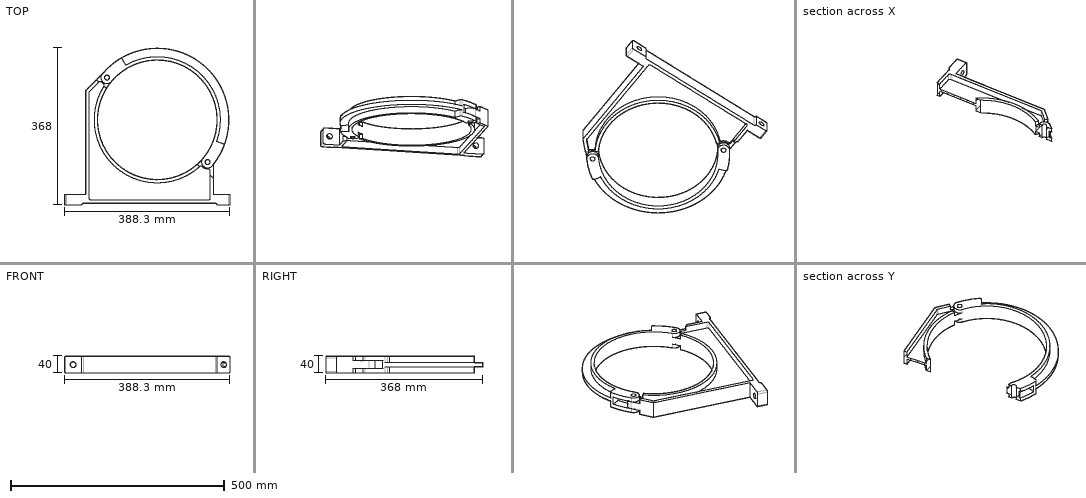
import cadquery as cq
import math

HEIGHT = 40.0
TONGUE_HEIGHT = 19.0
WEB_HEIGHT = 8.0
CLAMP_RIB_HEIGHT = 10.0

BORE_RADIUS = 140.0
LINER_RADIUS = 148.0
RING_RADIUS = 168.0
WALL = LINER_RADIUS - BORE_RADIUS

SPLIT_ANGLE = -40.0
HINGE_RADIUS = (BORE_RADIUS + RING_RADIUS) / 2
KNUCKLE_RADIUS = (RING_RADIUS - BORE_RADIUS) / 2
HINGE_HOLE_DIAMETER = 11.2
HINGE_BOSS_RADIUS = 16.5
HINGE_RECESS = 20.0
KNUCKLE_END_ANGLE = 20.0
SLOT_END_ANGLE = 16.5
CLAMP_END_FILLET = 4.0

BODY_LEFT = -RING_RADIUS
FOOT_BOTTOM = -200.0
FOOT_LEFT = -217.3
FOOT_RIGHT = 171.0
FOOT_THICKNESS = 25.0
FOOT_EDGE_RADIUS = 4.0
RELIEF_DEPTH = 4.0
FOOT_HOLE_DIAMETER = 13.0
LEFT_HOLE_INSET = 20.0
RIGHT_HOLE_INSET = 15.5
POCKET_CORNER_RADIUS = 4.0

FOOT_TOP = FOOT_BOTTOM + FOOT_THICKNESS
BODY_BOTTOM = FOOT_BOTTOM + RELIEF_DEPTH
RELIEF_LEFT = FOOT_LEFT + 2 * LEFT_HOLE_INSET
RELIEF_RIGHT = FOOT_RIGHT - 2 * RIGHT_HOLE_INSET
FAR = 2 * RING_RADIUS

HINGE_X = HINGE_RADIUS * math.cos(math.radians(SPLIT_ANGLE))
HINGE_Y = HINGE_RADIUS * math.sin(math.radians(SPLIT_ANGLE))
HINGE_CENTRES = [(HINGE_X, HINGE_Y), (-HINGE_X, -HINGE_Y)]

BODY_RIGHT = HINGE_X + KNUCKLE_RADIUS
TANGENT_STEP = KNUCKLE_RADIUS * math.sin(math.radians(45))
TANGENT_POINT = (-HINGE_X - TANGENT_STEP, -HINGE_Y + TANGENT_STEP)


def mid_plane(height):
    """Sketch plane from which an extrusion of this height is centred on Z = 0."""
    return cq.Workplane("XY").workplane(offset=-height / 2)


def disc(radius, height):
    return mid_plane(height).circle(radius).extrude(height)


def ring(inner, outer, height):
    return mid_plane(height).circle(outer).circle(inner).extrude(height)


def hinge_discs(radius, height):
    return mid_plane(height).pushPoints(HINGE_CENTRES).circle(radius).extrude(height)


def split_strip(low, high, height):
    """Block parallel to the split line, between two signed distances from it."""
    strip = mid_plane(height).center(0, (low + high) / 2).rect(2 * FAR, high - low).extrude(height)
    return strip.rotate((0, 0, 0), (0, 0, 1), SPLIT_ANGLE)


def sector(end_trim, height):
    """Clamp-side wedge that stops short of the split line by end_trim degrees at each end."""
    half_angle = math.radians(90 - end_trim)
    x = FAR * math.cos(half_angle)
    y = FAR * math.sin(half_angle)
    corners = [(0, 0), (x, -y), (FAR, -y), (FAR, y), (x, y)]
    wedge = mid_plane(height).polyline(corners).close().extrude(height)
    return wedge.rotate((0, 0, 0), (0, 0, 1), SPLIT_ANGLE + 90)


def sloped_side_y(x, offset):
    """Y of the 45 degree side at x, with the side moved inwards by offset."""
    return TANGENT_POINT[1] + (x - TANGENT_POINT[0]) - offset * math.sqrt(2)


def make_base_blank():
    bend = RELIEF_DEPTH * math.sin(math.radians(45))
    return (
        mid_plane(HEIGHT)
        .moveTo(FOOT_LEFT, FOOT_BOTTOM)
        .lineTo(RELIEF_LEFT, FOOT_BOTTOM)
        .threePointArc(
            (RELIEF_LEFT + RELIEF_DEPTH - bend, FOOT_BOTTOM + bend),
            (RELIEF_LEFT + RELIEF_DEPTH, BODY_BOTTOM),
        )
        .lineTo(RELIEF_RIGHT - RELIEF_DEPTH, BODY_BOTTOM)
        .threePointArc(
            (RELIEF_RIGHT - RELIEF_DEPTH + bend, FOOT_BOTTOM + bend),
            (RELIEF_RIGHT, FOOT_BOTTOM),
        )
        .lineTo(FOOT_RIGHT, FOOT_BOTTOM)
        .lineTo(FOOT_RIGHT, FOOT_TOP)
        .lineTo(BODY_RIGHT, FOOT_TOP)
        .lineTo(BODY_RIGHT, HINGE_Y)
        .lineTo(HINGE_X, HINGE_Y)
        .lineTo(-HINGE_X, -HINGE_Y)
        .lineTo(*TANGENT_POINT)
        .lineTo(BODY_LEFT, sloped_side_y(BODY_LEFT, 0))
        .lineTo(BODY_LEFT, FOOT_TOP)
        .lineTo(FOOT_LEFT, FOOT_TOP)
        .close()
        .extrude(HEIGHT)
        .edges("|Y and (<X or >X)")
        .fillet(FOOT_EDGE_RADIUS)
    )


def make_pocket():
    """Full-height pocket shape, one wall thickness inside the base outline."""
    left = BODY_LEFT + WALL
    right = BODY_RIGHT - WALL
    bottom = BODY_BOTTOM + WALL
    outline = [
        (left, bottom),
        (right, bottom),
        (right, 0),
        (0, sloped_side_y(0, WALL)),
        (left, sloped_side_y(left, WALL)),
    ]
    return (
        mid_plane(HEIGHT)
        .polyline(outline)
        .close()
        .extrude(HEIGHT)
        .cut(split_strip(0, FAR, HEIGHT))
        .cut(disc(LINER_RADIUS, HEIGHT))
        .cut(hinge_discs(HINGE_BOSS_RADIUS, HEIGHT))
        .edges("|Z")
        .fillet(POCKET_CORNER_RADIUS)
    )


def make_base():
    pockets = make_pocket().cut(disc(FAR, WEB_HEIGHT))
    recess = split_strip(-HINGE_RECESS, FAR, HEIGHT).cut(disc(FAR, TONGUE_HEIGHT))
    foot_holes = (
        cq.Workplane("XZ", origin=(0, FOOT_TOP, 0))
        .pushPoints([(FOOT_LEFT + LEFT_HOLE_INSET, 0), (FOOT_RIGHT - RIGHT_HOLE_INSET, 0)])
        .circle(FOOT_HOLE_DIAMETER / 2)
        .extrude(FOOT_THICKNESS)
    )
    return (
        make_base_blank()
        .cut(disc(BORE_RADIUS, HEIGHT))
        .cut(pockets)
        .cut(recess)
        .cut(foot_holes)
        .union(hinge_discs(KNUCKLE_RADIUS, TONGUE_HEIGHT))
    )


def outer_corner(angle):
    """Selector of the upright edge on the ring outside at the given angle."""
    x = RING_RADIUS * math.cos(math.radians(angle))
    y = RING_RADIUS * math.sin(math.radians(angle))
    return cq.NearestToPointSelector((x, y, 0))


def make_clamp():
    first_corner = outer_corner(SPLIT_ANGLE + KNUCKLE_END_ANGLE)
    second_corner = outer_corner(SPLIT_ANGLE + 180 - KNUCKLE_END_ANGLE)
    lower_half = split_strip(-FAR, 0, HEIGHT)
    liner = ring(BORE_RADIUS, LINER_RADIUS, HEIGHT)
    rib = ring(BORE_RADIUS, RING_RADIUS, CLAMP_RIB_HEIGHT)
    ends = (
        ring(BORE_RADIUS, RING_RADIUS, HEIGHT)
        .cut(sector(KNUCKLE_END_ANGLE, HEIGHT))
        .cut(lower_half)
        .edges(first_corner + second_corner)
        .fillet(CLAMP_END_FILLET)
    )
    slots = ring(LINER_RADIUS, FAR, TONGUE_HEIGHT).cut(sector(SLOT_END_ANGLE, TONGUE_HEIGHT))
    knuckles = hinge_discs(KNUCKLE_RADIUS, HEIGHT).cut(disc(FAR, TONGUE_HEIGHT))
    half_ring = liner.union(rib).cut(lower_half).union(ends)
    return half_ring.cut(slots).union(knuckles)


hinge_holes = hinge_discs(HINGE_HOLE_DIAMETER / 2, HEIGHT)
result = make_base().union(make_clamp()).cut(hinge_holes)